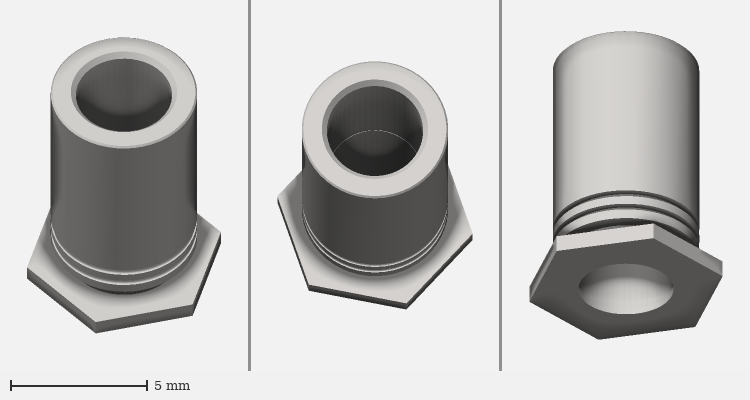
import cadquery as cq
import math

total_height = 9.53
hex_across_flats = 6.35
hex_thickness = 0.64

barrel_diameter = 5.38
groove_diameter = 4.88
neck_diameter = 4.37

neck_top = 1.39
lower_groove_bottom = 1.77
lower_groove_top = 2.01
upper_groove_bottom = 2.34
upper_groove_top = 2.59
rim_chamfer = 0.07

lower_bore_diameter = 3.51
upper_bore_diameter = 3.54
upper_bore_bottom = total_height / 2
mouth_diameter = 3.91
mouth_depth = (mouth_diameter - upper_bore_diameter) / 2


def cylinder(diameter, bottom, top):
    """Vertical cylinder on the part axis between two heights."""
    return cq.Workplane("XY").workplane(offset=bottom).circle(diameter / 2).extrude(top - bottom)


hex_across_corners = hex_across_flats / math.cos(math.radians(30))
head = cq.Workplane("XY").polygon(6, hex_across_corners).extrude(hex_thickness)

neck = cylinder(neck_diameter, hex_thickness, neck_top)
barrel = cylinder(barrel_diameter, neck_top, total_height).faces(">Z").edges().chamfer(rim_chamfer)

for bottom, top in (
    (lower_groove_bottom, lower_groove_top),
    (upper_groove_bottom, upper_groove_top),
):
    groove = cylinder(barrel_diameter, bottom, top).cut(cylinder(groove_diameter, bottom, top))
    barrel = barrel.cut(groove)

lower_bore = cylinder(lower_bore_diameter, 0, total_height)
upper_bore = cylinder(upper_bore_diameter, upper_bore_bottom, total_height)
countersink = (
    cq.Workplane("XY")
    .workplane(offset=total_height - mouth_depth)
    .circle(upper_bore_diameter / 2)
    .workplane(offset=mouth_depth)
    .circle(mouth_diameter / 2)
    .loft()
)

result = head.union(neck).union(barrel).cut(lower_bore).cut(upper_bore).cut(countersink)